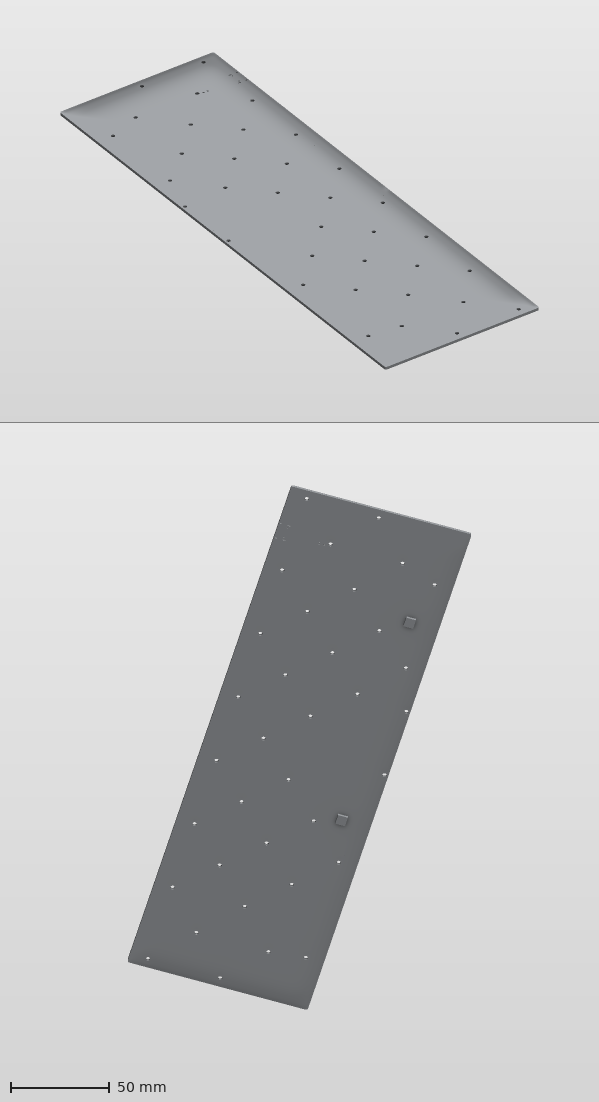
import cadquery as cq

BOARD_LENGTH = 285.8
KEYS_ALONG = 15
KEYS_ACROSS = 5
KEY_PITCH = BOARD_LENGTH / KEYS_ALONG
BOARD_WIDTH = KEYS_ACROSS * KEY_PITCH
BOARD_THICKNESS = 1.6
CORNER_RADIUS = 1.1

MOUNT_DIAMETER = 2.2
EDGE_ROW_INSET = 2.0
OUTER_COLUMNS = (0.25, 2.5, 4.5, 6.5, 8.5, 10.5, 12.5, KEYS_ALONG - 0.25)
INNER_COLUMNS = (1.375, 3.5, 5.5, 9.5, 11.5, KEYS_ALONG - 1.375)
CENTER_COLUMN = KEYS_ALONG / 2
MOUNT_ROWS = (
    (4.5, OUTER_COLUMNS),
    (3.5, (*INNER_COLUMNS, CENTER_COLUMN)),
    (2.5, OUTER_COLUMNS),
    (1.5, INNER_COLUMNS),
    (0.5, (1.75, 4.375, 10.5, 13.5)),
    (EDGE_ROW_INSET / KEY_PITCH, (5.625, 7.625)),
)

USB_X = 26.3
SHELL_SLOT_SPACING = 8.5
SHELL_SLOT_WIDTH = 0.6
OUTER_SLOT_LENGTH = 1.1
OUTER_SLOT_INSET = 1.1
INNER_SLOT_LENGTH = 1.7
INNER_SLOT_INSET = 5.5
USB_PEG_DIAMETER = 0.65
USB_PEG_SPACING = 5.7
USB_PEG_INSET = 5.0

HEADER_HOLE_DIAMETER = 1.0
HEADER_X = 27.5
HEADER_PITCH = 2.5
HEADER_INSET = 24.3

SWITCH_SIDE = 5.1
SWITCH_HEIGHT = 1.55
SWITCHES_X = (57.2, 175.7)
SWITCH_Y = 15.5


def pair_along_x(center_x, y, spacing):
    """Two points at the given Y, centred on center_x."""
    return [(center_x - spacing / 2, y), (center_x + spacing / 2, y)]


def through_holes(points, diameter):
    return cq.Workplane().pushPoints(points).circle(diameter / 2).extrude(BOARD_THICKNESS)


def mounting_holes():
    points = [(column * KEY_PITCH, row * KEY_PITCH) for row, columns in MOUNT_ROWS for column in columns]
    return through_holes(points, MOUNT_DIAMETER)


def shell_slots(length, inset):
    """A pair of slots that run along Y and take the tabs of the USB connector's shell."""
    points = pair_along_x(USB_X, BOARD_WIDTH - inset, SHELL_SLOT_SPACING)
    slots = cq.Workplane().pushPoints(points).slot2D(length, SHELL_SLOT_WIDTH, angle=90)
    return slots.extrude(BOARD_THICKNESS)


def usb_peg_holes():
    points = pair_along_x(USB_X, BOARD_WIDTH - USB_PEG_INSET, USB_PEG_SPACING)
    return through_holes(points, USB_PEG_DIAMETER)


def header_holes():
    center_y = BOARD_WIDTH - HEADER_INSET
    points = [(HEADER_X, center_y - HEADER_PITCH / 2), (HEADER_X, center_y + HEADER_PITCH / 2)]
    return through_holes(points, HEADER_HOLE_DIAMETER)


def make_board():
    board = cq.Workplane().box(BOARD_LENGTH, BOARD_WIDTH, BOARD_THICKNESS, centered=False)
    board = board.edges("|Z").fillet(CORNER_RADIUS)
    board = board.cut(mounting_holes())
    board = board.cut(shell_slots(OUTER_SLOT_LENGTH, OUTER_SLOT_INSET))
    board = board.cut(shell_slots(INNER_SLOT_LENGTH, INNER_SLOT_INSET))
    board = board.cut(usb_peg_holes())
    return board.cut(header_holes())


def make_switch(x):
    """A switch whose top face lies against the underside of the board."""
    base = cq.Workplane(origin=(x, SWITCH_Y, -SWITCH_HEIGHT))
    return base.rect(SWITCH_SIDE, SWITCH_SIDE).extrude(SWITCH_HEIGHT)


board = make_board()
switches = [make_switch(x) for x in SWITCHES_X]
result = cq.Compound.makeCompound([board.solids().val(), *[switch.val() for switch in switches]])